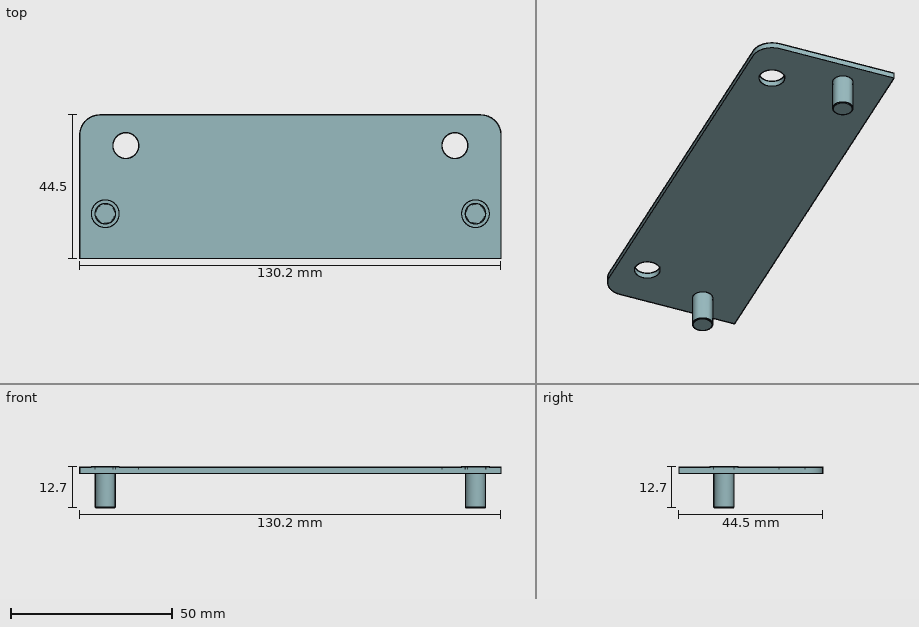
import cadquery as cq

plate_length = 130.18
plate_width = 44.45
plate_thickness = 1.984
corner_radius = 6.35

mounting_hole_diameter = 7.92
mounting_hole_spacing = 101.6
mounting_hole_edge_distance = 9.525
mounting_hole_y = plate_width - mounting_hole_edge_distance

overall_height = 12.7
pin_diameter = 6.3
pin_hole_diameter = 6.35
pin_spacing = 114.3
pin_y = 13.9
pin_chamfer = 0.25
head_diameter = 8.56
head_height = 0.165

head_top_z = plate_thickness + head_height
pin_end_z = head_top_z - overall_height


def mirrored_pair(spacing, y):
    """Two points placed symmetrically about the middle of the plate."""
    return [(-spacing / 2, y), (spacing / 2, y)]


pin_positions = mirrored_pair(pin_spacing, pin_y)
mounting_hole_positions = mirrored_pair(mounting_hole_spacing, mounting_hole_y)


def hole_cutters(positions, diameter):
    """Cylinders spanning the plate thickness, one at each position."""
    return cq.Workplane("XY").pushPoints(positions).circle(diameter / 2).extrude(plate_thickness)


def make_plate():
    """Sheet with two rounded rear corners, mounting holes and pin holes."""
    sheet = cq.Workplane("XY").box(
        plate_length, plate_width, plate_thickness, centered=(True, False, False)
    )
    sheet = sheet.edges("|Z and >Y").fillet(corner_radius)
    mounting_holes = hole_cutters(mounting_hole_positions, mounting_hole_diameter)
    pin_holes = hole_cutters(pin_positions, pin_hole_diameter)
    return sheet.cut(mounting_holes).cut(pin_holes)


def make_pin(x, y):
    """Shank with a chamfered lower end and a thin head resting on the plate."""
    shank = (
        cq.Workplane("XY", origin=(x, y, pin_end_z))
        .circle(pin_diameter / 2)
        .extrude(plate_thickness - pin_end_z)
        .faces("<Z")
        .chamfer(pin_chamfer)
    )
    head = (
        cq.Workplane("XY", origin=(x, y, plate_thickness))
        .circle(head_diameter / 2)
        .extrude(head_height)
    )
    return shank.union(head)


plate = make_plate()
pins = [make_pin(x, y) for x, y in pin_positions]

result = cq.Compound.makeCompound([plate.val(), *[pin.val() for pin in pins]])